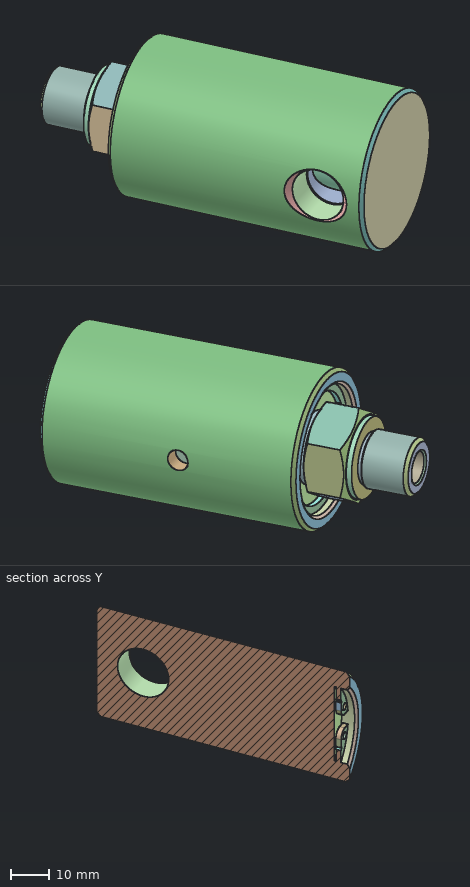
import cadquery as cq
import math


total_length = 98.89
thread_end = 12.95
flange_start = 14.3
hex_start = 15.8
hex_end = 27.9
housing_start = 25.8

thread_diameter = 15.84
thread_tip_diameter = 13.89
neck_diameter = 14.3
runout_diameter = 15.1
runout_length = 0.4
flange_diameter = 22.2
journal_diameter = 19.84
hex_across_flats = 24.0
hex_face_diameter = 22.8
hex_chamfer_angle = 30.0
bore_diameter = 8.5
bore_chamfer = 0.5

housing_diameter = 43.7
housing_chamfer = 1.0
recess_mouth_diameter = 36.6
recess_diameter = 35.08
recess_depth = 4.5

ring_face_depth = 2.6
ring_thickness = 1.5
ring_inner_diameter = 30.7
ring_gap = 4.4
lug_inner_radius = 13.2
lug_corner_radius = 2.3
lug_outer_half_width = 7.1
lug_hole_diameter = 1.98
lug_hole_y = -15.35
lug_hole_z = 4.6

port_x = 85.45
port_diameter = 14.6
port_mouth_diameter = 17.8
port_depth = 10.5
port_inner_diameter = 13.89
core_diameter = 16.5

vent_x = 59.1
vent_diameter = 5.75
vent_depth = 5.0

housing_radius = housing_diameter / 2
ring_start = housing_start + ring_face_depth
recess_floor = housing_start + recess_depth


def rod(diameter, start, end):
    """Cylinder on the X axis between two stations."""
    return cq.Workplane("YZ").workplane(offset=start).circle(diameter / 2).extrude(end - start)


def cone(start_diameter, end_diameter, start, end):
    """Truncated cone on the X axis between two stations."""
    solid = cq.Solid.makeCone(
        start_diameter / 2, end_diameter / 2, end - start, cq.Vector(start, 0, 0), cq.Vector(1, 0, 0)
    )
    return cq.Workplane(obj=solid)


def make_housing():
    housing = rod(housing_diameter, housing_start, total_length).edges().chamfer(housing_chamfer)
    mouth_depth = (recess_mouth_diameter - recess_diameter) / 2
    mouth = cone(recess_mouth_diameter, recess_diameter, housing_start, housing_start + mouth_depth)
    return housing.cut(rod(recess_diameter, housing_start, recess_floor)).cut(mouth)


def make_retaining_ring():
    """Open ring with two rounded lugs, each with a plier hole."""
    ring_end = ring_start + ring_thickness
    ring = rod(recess_diameter, ring_start, ring_end).cut(rod(ring_inner_diameter, ring_start, ring_end))
    lug_length = recess_diameter / 2 - lug_inner_radius
    lug_y = -(lug_inner_radius + lug_length / 2)
    lugs = (
        cq.Workplane("YZ", origin=(ring_start, lug_y, 0))
        .rect(lug_length, 2 * lug_outer_half_width)
        .extrude(ring_thickness)
        .intersect(rod(recess_diameter, ring_start, ring_end))
    )
    gap = (
        cq.Workplane("YZ", origin=(ring_start, lug_y, 0))
        .rect(2 * lug_length, ring_gap)
        .extrude(ring_thickness)
    )
    ring = ring.union(lugs).cut(gap)
    box_margin = 0.1
    lug_corners = cq.selectors.BoxSelector(
        (ring_start - box_margin, -lug_inner_radius - box_margin, -ring_gap / 2 - box_margin),
        (ring_end + box_margin, -lug_inner_radius + box_margin, ring_gap / 2 + box_margin),
    )
    ring = ring.edges("|X").edges(lug_corners).fillet(lug_corner_radius)
    holes = (
        cq.Workplane("YZ", origin=(ring_start, 0, 0))
        .pushPoints([(lug_hole_y, lug_hole_z), (lug_hole_y, -lug_hole_z)])
        .circle(lug_hole_diameter / 2)
        .extrude(ring_thickness)
    )
    return ring.cut(holes)


def make_hexagon():
    """Hexagon with corners on +-Z and a conical chamfer at both ends."""
    across_corners = hex_across_flats / math.cos(math.pi / 6)
    hexagon = (
        cq.Workplane("YZ", origin=(hex_start, 0, 0))
        .transformed(rotate=(0, 0, 90))
        .polygon(6, across_corners)
        .extrude(hex_end - hex_start)
    )
    slope = math.tan(math.radians(hex_chamfer_angle))
    envelope_diameter = hex_face_diameter + 2 * (hex_end - hex_start) / slope
    front_envelope = cone(hex_face_diameter, envelope_diameter, hex_start, hex_end)
    back_envelope = cone(envelope_diameter, hex_face_diameter, hex_start, hex_end)
    return hexagon.intersect(front_envelope).intersect(back_envelope)


def make_shaft():
    tip_chamfer = (thread_diameter - thread_tip_diameter) / 2
    thread = rod(thread_diameter, 0, thread_end).faces("<X").chamfer(tip_chamfer)
    runout = cone(runout_diameter, neck_diameter, thread_end, thread_end + runout_length)
    neck = rod(neck_diameter, thread_end, flange_start)
    flange = rod(flange_diameter, flange_start, hex_start)
    journal = rod(journal_diameter, hex_start, recess_floor)
    return thread.union(runout).union(neck).union(flange).union(make_hexagon()).union(journal)


def make_bore():
    """Blind axial bore that ends at the port axis."""
    mouth = cone(bore_diameter + 2 * bore_chamfer, bore_diameter, 0, bore_chamfer)
    return rod(bore_diameter, 0, port_x).union(mouth)


def radial_hole(x, side, diameter, depth):
    """Cylinder sunk to a depth from the housing surface on the -Y (side -1) or +Y (side +1) side."""
    solid = cq.Solid.makeCylinder(
        diameter / 2, depth, cq.Vector(x, side * housing_radius, 0), cq.Vector(0, -side, 0)
    )
    return cq.Workplane(obj=solid)


def make_port():
    """Stepped radial port with a 45 degree countersink, ending on the core."""
    sink_depth = (port_mouth_diameter - port_diameter) / 2
    sink = cq.Solid.makeCone(
        port_mouth_diameter / 2,
        port_diameter / 2,
        sink_depth,
        cq.Vector(port_x, -housing_radius, 0),
        cq.Vector(0, 1, 0),
    )
    return (
        radial_hole(port_x, -1, port_diameter, port_depth)
        .union(radial_hole(port_x, -1, port_inner_diameter, housing_radius))
        .union(cq.Workplane(obj=sink))
        .cut(rod(core_diameter, housing_start, total_length))
    )


def make_vent():
    return radial_hole(vent_x, 1, vent_diameter, vent_depth)


result = (
    make_housing()
    .union(make_retaining_ring())
    .union(make_shaft())
    .cut(make_bore())
    .cut(make_port())
    .cut(make_vent())
)